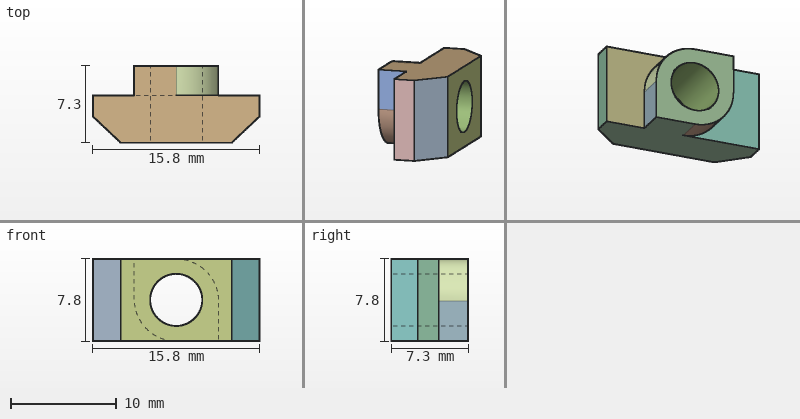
import cadquery as cq

plate_length = 15.8
height = 7.8
plate_thickness = 4.5
bevel_depth = 2.5
bevel_width = 2.65
boss_width = 8.0
boss_depth = 2.8
hole_diameter = 4.92

corner_radius = boss_width / 2
total_depth = plate_thickness + boss_depth


def make_plate():
    """Plate with both front vertical edges bevelled; front face at Y = 0."""
    half_length = plate_length / 2
    half_front = half_length - bevel_width
    outline = [
        (-half_front, 0),
        (half_front, 0),
        (half_length, bevel_depth),
        (half_length, plate_thickness),
        (-half_length, plate_thickness),
        (-half_length, bevel_depth),
    ]
    return (
        cq.Workplane("XY")
        .workplane(offset=-height / 2)
        .polyline(outline)
        .close()
        .extrude(height)
    )


def make_boss():
    """Boss on the back of the plate, rounded at two diagonally opposite corners."""
    block = cq.Workplane("XY").box(boss_width, boss_depth, height)
    block = block.translate((0, plate_thickness + boss_depth / 2, 0))
    upper_corner = block.edges("|Y").edges(">X").edges(">Z")
    lower_corner = block.edges("|Y").edges("<X").edges("<Z")
    return block.newObject(upper_corner.vals() + lower_corner.vals()).fillet(corner_radius)


def make_hole():
    """Through hole along Y, centred on the part."""
    return cq.Workplane("XZ").circle(hole_diameter / 2).extrude(-total_depth)


result = make_plate().union(make_boss()).cut(make_hole())